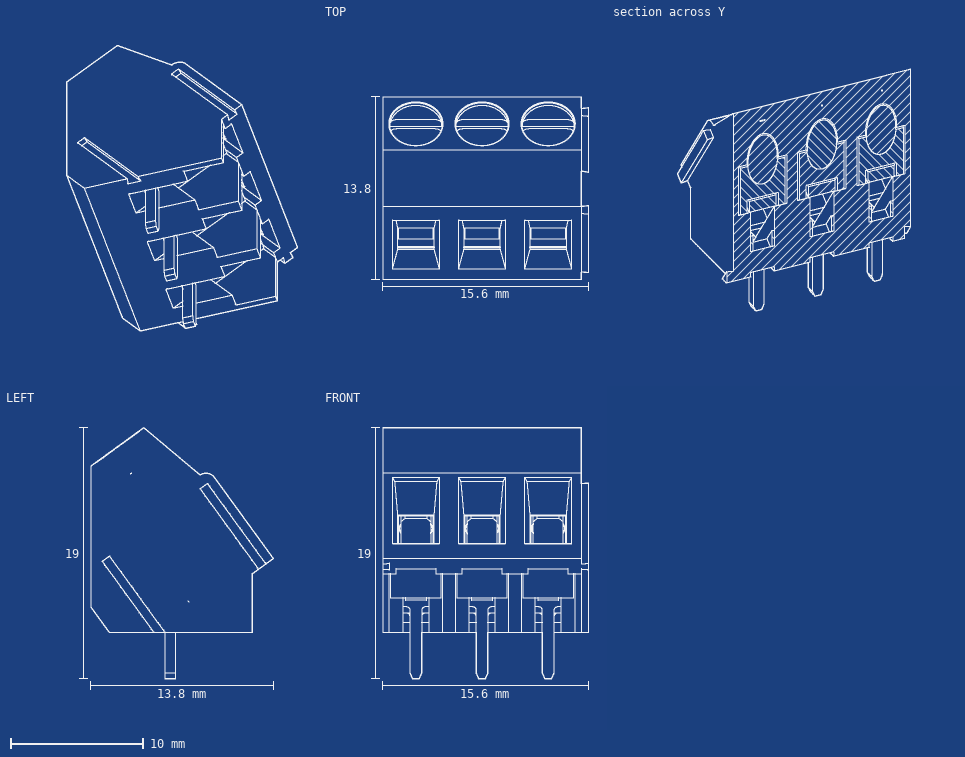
import cadquery as cq
import math


TILT = 36.0
COS = math.cos(math.radians(TILT))
SIN = math.sin(math.radians(TILT))
TAN = SIN / COS
OUT_DIR = (0, -COS, SIN)
RISE_DIR = (0, SIN, COS)


def out_of(y, z):
    return -y * COS + z * SIN


def rise_of(y, z):
    return y * SIN + z * COS


def from_tilted(out, rise):
    """The (y, z) of a point given in the tilted frame."""
    return (-out * COS + rise * SIN, out * SIN + rise * COS)


def side_sketch(x):
    """Sketch plane square to X, with local x = out and local y = rise."""
    return cq.Workplane(cq.Plane(origin=(x, 0, 0), xDir=OUT_DIR, normal=(-1, 0, 0)))


def mouth_sketch(x):
    """Sketch plane square to the wire axis, with local x = X and local y = rise."""
    return cq.Workplane(cq.Plane(origin=(x, 0, 0), xDir=(1, 0, 0), normal=OUT_DIR))


def screw_sketch(x, rise):
    """Sketch plane square to the screw axis, with local x = X and local y = -out."""
    origin = (x, rise * RISE_DIR[1], rise * RISE_DIR[2])
    return cq.Workplane(cq.Plane(origin=origin, xDir=(1, 0, 0), normal=RISE_DIR))


def tilted_block(x, width, out_range, rise_range):
    """Box centred on x and aligned with the tilted frame."""
    out_size = out_range[1] - out_range[0]
    rise_size = rise_range[1] - rise_range[0]
    sketch = side_sketch(x).center(sum(out_range) / 2, sum(rise_range) / 2)
    return sketch.rect(out_size, rise_size).extrude(width / 2, both=True)


WAYS = 3
PITCH = 5.0
HOUSING_WIDTH = WAYS * PITCH
WAY_CENTRES = [(i - (WAYS - 1) / 2) * PITCH for i in range(WAYS)]

BACK_Y = 6.0
FOOT_FRONT_Y = -6.2
LIP_Y, LIP_Z = -7.8, 5.6
PEAK_Y, PEAK_Z = 2.0, 15.5
VALLEY_Y, VALLEY_Z = -2.26, 11.92
BACK_CHAMFER_Y = 1.4
BACK_CHAMFER_Z = BACK_CHAMFER_Y / TAN
MOUTH_OUT = out_of(LIP_Y, LIP_Z)
MOUTH_TOP_RISE = 7.53
SCREW_FACE_RISE = rise_of(PEAK_Y, PEAK_Z)
LIP_BACK_Z = LIP_Z - (FOOT_FRONT_Y - LIP_Y) * TAN
SHOULDER_Z = PEAK_Z - (BACK_Y - PEAK_Y) * TAN

BELOW = -12.0

RAIL_NECK = 0.67
RAIL_FLARE = 0.07
RAIL_HEIGHT = 0.55
GROOVE_DEPTH = 0.5
RAILS = [(-0.65, 7.38), (8.56, 7.47)]

FUNNEL_WIDTH = 3.55
FUNNEL_BOTTOM_RISE = 1.33
FUNNEL_STEP_DEPTH = 0.55
FUNNEL_DEPTH = 1.2
FUNNEL_STEP_OUT = MOUTH_OUT - FUNNEL_STEP_DEPTH
THROAT_WIDTH = 2.75
THROAT_OUT = MOUTH_OUT - FUNNEL_DEPTH
THROAT_BOTTOM_RISE = 2.19
THROAT_TOP_RISE = 4.9
THROAT_LAND = 0.15
LAND_OUT = THROAT_OUT - THROAT_LAND

CHAMBER_WIDTH = 4.03
CHAMBER_BACK_OUT = 2.5
CHAMBER_FRONT_OUT = out_of(FOOT_FRONT_Y, LIP_BACK_Z)
CHAMBER_TOP_RISE = 8.6
RELIEF_WIDTH = 3.03

CAGE_WIDTH = 3.8
CAGE_BOTTOM_RISE = 1.43
CAGE_TOP_RISE = 8.5
CAGE_WINDOW_WIDTH = 2.6
CAGE_WINDOW_RISE = (2.43, 6.1)

SCREW_OUT = (CHAMBER_BACK_OUT + CHAMBER_FRONT_OUT) / 2
HEAD_DIAMETER = 4.0
BORE_MOUTH_DIAMETER = 4.1
HEAD_LENGTH = 2.2
HEAD_SUNK = 0.04
HEAD_ROUND = 0.5
SHANK_DIAMETER = 2.5
SHANK_BORE = 2.6
DRIVE_WIDTH = 0.85
DRIVE_DEPTH = 0.85
HEAD_TOP_RISE = SCREW_FACE_RISE - HEAD_SUNK
HEAD_SEAT_RISE = HEAD_TOP_RISE - HEAD_LENGTH

PIN_THICKNESS = 0.8
PIN_WIDTH = 0.9
PIN_BOTTOM_Z = -3.5
PIN_TIP_HEIGHT = 0.45
PIN_TIP_INSET = 0.2
BEND_Z = 1.2
BEND_OUTER = 1.3
BEND_INNER = BEND_OUTER - PIN_THICKNESS
BEND_CENTRE_Y = BEND_OUTER - PIN_THICKNESS / 2
PLATE_WIDTH = 1.97
PLATE_FRONT_OUT = out_of(BEND_CENTRE_Y, BEND_Z) + BEND_OUTER
PLATE_BACK_OUT = PLATE_FRONT_OUT - PIN_THICKNESS
PLATE_BOTTOM_RISE = rise_of(BEND_CENTRE_Y, BEND_Z)
NECK_FILLET = 0.3
PLATE_WINDOW_WIDTH = 1.57
PLATE_WINDOW_RISE = (2.1, 4.1)
TONGUE_WIDTH = 2.27
TONGUE_BOTTOM_RISE = 5.2
TONGUE_TOP_RISE = TONGUE_BOTTOM_RISE + PIN_THICKNESS
TONGUE_FRONT_OUT = 7.4
TONGUE_CHAMFER_LENGTH = 0.3
TONGUE_FACE_CHAMFER = 0.08
TONGUE_EDGE_CHAMFER = 0.3

SLOT_BACK_Y = 0.5
SLOT_BACK_Z = 0.77


def housing_prism(x_start, length):
    """Side outline of the block drawn out along X."""
    return (
        cq.Workplane("YZ", origin=(x_start, 0, 0))
        .moveTo(BACK_Y - BACK_CHAMFER_Y, 0)
        .lineTo(FOOT_FRONT_Y, 0)
        .lineTo(FOOT_FRONT_Y, LIP_BACK_Z)
        .lineTo(LIP_Y, LIP_Z)
        .lineTo(*from_tilted(MOUTH_OUT, MOUTH_TOP_RISE))
        .tangentArcPoint((VALLEY_Y, VALLEY_Z), relative=False)
        .lineTo(PEAK_Y, PEAK_Z)
        .lineTo(BACK_Y, SHOULDER_Z)
        .lineTo(BACK_Y, BACK_CHAMFER_Z)
        .close()
        .extrude(length)
    )


def dovetail(x, height, centre_out, top_rise):
    """Rail that starts at x, widens towards +X and runs down past the foot."""
    base = RAIL_NECK / 2
    tip = base + RAIL_FLARE
    points = [(0, base), (height, tip), (height, -tip), (0, -base)]
    sketch = screw_sketch(x, BELOW).center(0, -centre_out)
    return sketch.polyline(points).close().extrude(top_rise - BELOW)


def wire_funnel(x):
    """Entry that narrows on all sides to the throat, and the throat's short land."""
    side = (
        side_sketch(x)
        .polyline([
            (MOUTH_OUT, FUNNEL_BOTTOM_RISE),
            (THROAT_OUT, THROAT_BOTTOM_RISE),
            (LAND_OUT, THROAT_BOTTOM_RISE),
            (LAND_OUT, THROAT_TOP_RISE),
            (THROAT_OUT, THROAT_TOP_RISE),
            (FUNNEL_STEP_OUT, MOUTH_TOP_RISE),
            (MOUTH_OUT, MOUTH_TOP_RISE),
        ])
        .close()
        .extrude(FUNNEL_WIDTH, both=True)
    )
    plan = (
        screw_sketch(x, 0)
        .polyline([
            (FUNNEL_WIDTH / 2, -MOUTH_OUT),
            (THROAT_WIDTH / 2, -THROAT_OUT),
            (THROAT_WIDTH / 2, -LAND_OUT),
            (-THROAT_WIDTH / 2, -LAND_OUT),
            (-THROAT_WIDTH / 2, -THROAT_OUT),
            (-FUNNEL_WIDTH / 2, -MOUTH_OUT),
        ])
        .close()
        .extrude(MOUTH_TOP_RISE)
    )
    return side.intersect(plan)


def cage_chamber(x):
    """Chamber for the cage, open at the foot, with a narrower relief behind the throat."""
    rise_range = (BELOW, CHAMBER_TOP_RISE)
    chamber = tilted_block(x, CHAMBER_WIDTH, (CHAMBER_BACK_OUT, CHAMBER_FRONT_OUT), rise_range)
    relief = tilted_block(x, RELIEF_WIDTH, (CHAMBER_BACK_OUT, LAND_OUT), rise_range)
    return chamber.union(relief)


def pin_slot(x):
    """Slot in the chamber's back wall for the pin, relieved behind the leg at the foot."""
    plate = tilted_block(
        x, PLATE_WIDTH, (PLATE_BACK_OUT, CHAMBER_FRONT_OUT), (PLATE_BOTTOM_RISE, TONGUE_TOP_RISE)
    )
    foot_y = SLOT_BACK_Y + SLOT_BACK_Z / TAN
    foot = (
        cq.Workplane("YZ", origin=(x, 0, 0))
        .polyline([
            (FOOT_FRONT_Y, 0),
            (foot_y, 0),
            (SLOT_BACK_Y, SLOT_BACK_Z),
            from_tilted(PLATE_BACK_OUT, PLATE_BOTTOM_RISE),
            from_tilted(CHAMBER_FRONT_OUT, PLATE_BOTTOM_RISE),
        ])
        .close()
        .extrude(PLATE_WIDTH / 2, both=True)
    )
    return plate.union(foot)


def screw_bore(x):
    """Bore that fits the head, with a small chamfer at its mouth and a shank hole below."""
    chamfer = (BORE_MOUTH_DIAMETER - HEAD_DIAMETER) / 2
    return (
        side_sketch(x)
        .polyline([
            (SCREW_OUT, TONGUE_TOP_RISE),
            (SCREW_OUT + SHANK_BORE / 2, TONGUE_TOP_RISE),
            (SCREW_OUT + SHANK_BORE / 2, HEAD_SEAT_RISE),
            (SCREW_OUT + HEAD_DIAMETER / 2, HEAD_SEAT_RISE),
            (SCREW_OUT + HEAD_DIAMETER / 2, SCREW_FACE_RISE - chamfer),
            (SCREW_OUT + BORE_MOUTH_DIAMETER / 2, SCREW_FACE_RISE),
            (SCREW_OUT, SCREW_FACE_RISE),
        ])
        .close()
        .revolve(360, (SCREW_OUT, 0), (SCREW_OUT, 1))
    )


def make_housing():
    """Block with grooves on its left, rails on its right, and openings for each way."""
    left = -HOUSING_WIDTH / 2
    housing = housing_prism(left, HOUSING_WIDTH)
    rail_bounds = housing_prism(-left, RAIL_HEIGHT)
    for centre_out, top_rise in RAILS:
        housing = housing.cut(dovetail(left, GROOVE_DEPTH, centre_out, top_rise))
        housing = housing.union(dovetail(-left, RAIL_HEIGHT, centre_out, top_rise).intersect(rail_bounds))
    for x in WAY_CENTRES:
        housing = housing.cut(wire_funnel(x)).cut(cage_chamber(x))
        housing = housing.cut(pin_slot(x)).cut(screw_bore(x))
    return housing


def make_cage(x):
    """Block with a wire window right through it and a hole for the screw in its top."""
    out_range = (CHAMBER_BACK_OUT, CHAMBER_FRONT_OUT)
    cage = tilted_block(x, CAGE_WIDTH, out_range, (CAGE_BOTTOM_RISE, CAGE_TOP_RISE))
    window = tilted_block(x, CAGE_WINDOW_WIDTH, out_range, CAGE_WINDOW_RISE)
    hole_start = sum(CAGE_WINDOW_RISE) / 2
    hole = (
        screw_sketch(x, hole_start)
        .center(0, -SCREW_OUT)
        .circle(SHANK_DIAMETER / 2)
        .extrude(CAGE_TOP_RISE - hole_start)
    )
    return cage.cut(window).cut(hole)


def make_screw(x):
    """Round-edged slotted screw whose end rests on the pin's tongue."""
    head = (
        screw_sketch(x, HEAD_SEAT_RISE)
        .center(0, -SCREW_OUT)
        .circle(HEAD_DIAMETER / 2)
        .extrude(HEAD_LENGTH)
        .faces(cq.selectors.DirectionMinMaxSelector(cq.Vector(*RISE_DIR), True))
        .edges()
        .fillet(HEAD_ROUND)
    )
    shank = (
        screw_sketch(x, TONGUE_TOP_RISE)
        .center(0, -SCREW_OUT)
        .circle(SHANK_DIAMETER / 2)
        .extrude(HEAD_SEAT_RISE - TONGUE_TOP_RISE)
    )
    slot = tilted_block(
        x,
        HEAD_DIAMETER,
        (SCREW_OUT - DRIVE_WIDTH / 2, SCREW_OUT + DRIVE_WIDTH / 2),
        (HEAD_TOP_RISE - DRIVE_DEPTH, HEAD_TOP_RISE),
    )
    return head.union(shank).cut(slot)


def bent_strip(x):
    """Leg and bend, PIN_THICKNESS thick, ending square at the foot of the plate."""
    bend = math.radians(TILT)

    def bend_point(radius, angle):
        return (BEND_CENTRE_Y - radius * math.cos(angle), BEND_Z + radius * math.sin(angle))

    return (
        cq.Workplane("YZ", origin=(x, 0, 0))
        .moveTo(-PIN_THICKNESS / 2, PIN_BOTTOM_Z)
        .lineTo(-PIN_THICKNESS / 2, BEND_Z)
        .threePointArc(bend_point(BEND_OUTER, bend / 2), bend_point(BEND_OUTER, bend))
        .lineTo(*bend_point(BEND_INNER, bend))
        .threePointArc(bend_point(BEND_INNER, bend / 2), bend_point(BEND_INNER, 0))
        .lineTo(PIN_THICKNESS / 2, PIN_BOTTOM_Z)
        .close()
        .extrude(PLATE_WIDTH / 2, both=True)
    )


def neck_outline(x):
    """Leg width, flaring through a fillet on each side just under the plate."""
    half = PIN_WIDTH / 2
    fillet_start = PLATE_BOTTOM_RISE - NECK_FILLET
    return (
        mouth_sketch(x)
        .moveTo(-half, BELOW)
        .lineTo(half, BELOW)
        .lineTo(half, fillet_start)
        .radiusArc((half + NECK_FILLET, PLATE_BOTTOM_RISE), NECK_FILLET)
        .lineTo(-half - NECK_FILLET, PLATE_BOTTOM_RISE)
        .radiusArc((-half, fillet_start), NECK_FILLET)
        .close()
        .extrude(-BELOW, both=True)
    )


def pin_leg(x):
    """Bent leg, narrowed to its width and tapered at the tip."""
    leg = bent_strip(x).intersect(neck_outline(x))
    for side in (-1, 1):
        edge = x + side * PIN_WIDTH / 2
        corner = (
            cq.Workplane("XZ", origin=(0, PIN_THICKNESS, 0))
            .moveTo(edge, PIN_BOTTOM_Z)
            .lineTo(edge - side * PIN_TIP_INSET, PIN_BOTTOM_Z)
            .lineTo(edge, PIN_BOTTOM_Z + PIN_TIP_HEIGHT)
            .close()
            .extrude(2 * PIN_THICKNESS)
        )
        leg = leg.cut(corner)
    return leg


def chamfered_bar(half_width, chamfer):
    """Outline points of a bar along the tongue, chamfered on both sides of its front end."""
    shoulder = TONGUE_FRONT_OUT - TONGUE_CHAMFER_LENGTH
    return [
        (CHAMBER_BACK_OUT, half_width),
        (shoulder, half_width),
        (TONGUE_FRONT_OUT, half_width - chamfer),
        (TONGUE_FRONT_OUT, chamfer - half_width),
        (shoulder, -half_width),
        (CHAMBER_BACK_OUT, -half_width),
    ]


def pin_tongue(x):
    """Flat tongue inside the cage, chamfered all round its front end."""
    mid_rise = (TONGUE_BOTTOM_RISE + TONGUE_TOP_RISE) / 2
    side_points = chamfered_bar(PIN_THICKNESS / 2, TONGUE_FACE_CHAMFER)
    plan_points = [(across, -out) for out, across in chamfered_bar(TONGUE_WIDTH / 2, TONGUE_EDGE_CHAMFER)]
    side_outline = side_sketch(x).center(0, mid_rise).polyline(side_points).close()
    plan_outline = screw_sketch(x, mid_rise).polyline(plan_points).close()
    side = side_outline.extrude(TONGUE_WIDTH / 2, both=True)
    plan = plan_outline.extrude(PIN_THICKNESS / 2, both=True)
    return side.intersect(plan)


def make_pin(x):
    """Leg, windowed plate up the back of the slot, and tongue into the cage."""
    plate_out = (PLATE_BACK_OUT, PLATE_FRONT_OUT)
    plate = tilted_block(x, PLATE_WIDTH, plate_out, (PLATE_BOTTOM_RISE, TONGUE_TOP_RISE))
    window = tilted_block(x, PLATE_WINDOW_WIDTH, plate_out, PLATE_WINDOW_RISE)
    bridge = tilted_block(
        x, PLATE_WIDTH, (PLATE_BACK_OUT, CHAMBER_BACK_OUT), (TONGUE_BOTTOM_RISE, TONGUE_TOP_RISE)
    )
    return pin_leg(x).union(plate.cut(window)).union(bridge).union(pin_tongue(x))


housing = make_housing()
cages = [make_cage(x) for x in WAY_CENTRES]
screws = [make_screw(x) for x in WAY_CENTRES]
pins = [make_pin(x) for x in WAY_CENTRES]

result = cq.Compound.makeCompound([
    housing.val(),
    *[cage.val() for cage in cages],
    *[screw.val() for screw in screws],
    *[pin.val() for pin in pins],
])